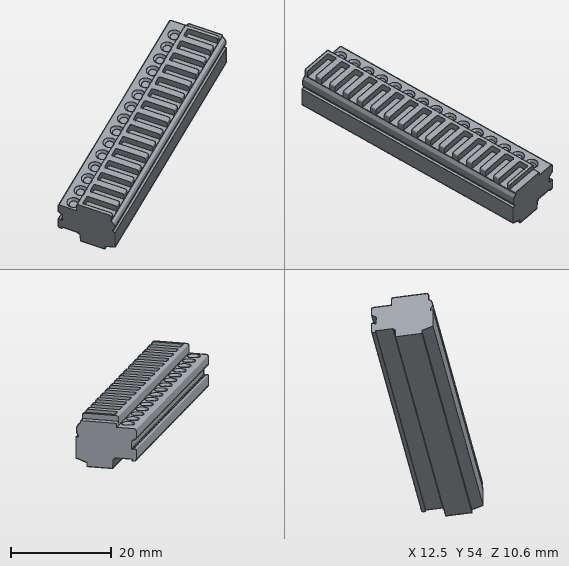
import cadquery as cq

WIDTH = 12.5
LENGTH = 54.0
HEIGHT = 10.6
POLES = 15

FOOT_LEFT = 4.9
FOOT_RIGHT = 10.2
FOOT_HEIGHT = 0.8
FOOT_ROOT = 4.75

SHELF_TOP = 8.65
SHELF_ROUND = 0.55
GROOVE_DEPTH = 0.95
GROOVE_BOTTOM = 4.45
GROOVE_TOP_INNER = 5.95
GROOVE_TOP_OUTER = 6.6
GROOVE_ROUND = 0.3
SILL_ROUND = 0.25
GROOVE_GUTTER = 0.15
GROOVE_SILL_WIDTH = 0.6
HOOK_BOTTOM = 1.9
HOOK_WIDTH = 0.85
HOOK_ROUND = 0.5
UNDERSIDE = 2.25
UNDERSIDE_RIGHT = 4.4
UNDERSIDE_STEP = 2.0

BLOCK_LEFT = 4.05
BLOCK_RIGHT = 11.55
BLOCK_ROUND = 0.5

BEAD_TOP = 8.95
BEAD_CREST = (12.35, 7.65)
BEAD_BOTTOM = (11.95, 6.3)
BEAD_NECK_HEIGHT = 0.25
WALL_TOP = 5.95
WALL_BOTTOM = 1.6

LIP_LENGTH = 1.5
LIP_TOP = 9.45
LIP_LEFT_ROUND = 0.4
LIP_RIGHT_ROUND = 0.2

FUNNEL_X = 2.6
FUNNEL_TOP_RADIUS = 1.3
FUNNEL_BOTTOM_RADIUS = 0.85
FUNNEL_DEPTH = 0.55

SLOT_LEFT = 5.1
SLOT_WIDTH = 2.1
SLOT_FLOOR = 9.05
SLOT_ROUND = 0.25

pitch = (LENGTH - LIP_LENGTH) / POLES
pole_centers = [(i + 0.5) * pitch for i in range(POLES)]


def lengthwise_edge(x, z):
    """Select the edges that run along Y through the point (x, z)."""
    reach = 0.05
    return cq.selectors.BoxSelector(
        (x - reach, 0, z - reach),
        (x + reach, LENGTH, z + reach),
    )


def make_profile(length, top, left_round, right_round):
    """Extrude the cross-section from Y = 0, with the raised block ending at the given top."""
    body = (
        cq.Workplane("XZ")
        .moveTo(FOOT_LEFT, 0)
        .lineTo(FOOT_RIGHT, 0)
        .lineTo(FOOT_RIGHT, FOOT_HEIGHT)
        .lineTo(WIDTH, WALL_BOTTOM)
        .lineTo(WIDTH, WALL_TOP)
        .lineTo(BEAD_BOTTOM[0], BEAD_BOTTOM[1] - BEAD_NECK_HEIGHT)
        .lineTo(*BEAD_BOTTOM)
        .threePointArc(BEAD_CREST, (BLOCK_RIGHT, BEAD_TOP))
        .lineTo(BLOCK_RIGHT, top)
        .lineTo(BLOCK_LEFT, top)
        .lineTo(BLOCK_LEFT, SHELF_TOP)
        .lineTo(0, SHELF_TOP)
        .lineTo(0, GROOVE_TOP_OUTER)
        .lineTo(GROOVE_DEPTH, GROOVE_TOP_INNER)
        .lineTo(GROOVE_DEPTH, GROOVE_BOTTOM)
        .lineTo((GROOVE_DEPTH + GROOVE_SILL_WIDTH) / 2, GROOVE_BOTTOM - GROOVE_GUTTER)
        .lineTo(GROOVE_SILL_WIDTH, GROOVE_BOTTOM)
        .lineTo(0, GROOVE_BOTTOM)
        .lineTo(0, HOOK_BOTTOM)
        .lineTo(HOOK_WIDTH, HOOK_BOTTOM)
        .lineTo(HOOK_WIDTH, UNDERSIDE)
        .lineTo(UNDERSIDE_RIGHT, UNDERSIDE)
        .lineTo(UNDERSIDE_RIGHT, UNDERSIDE_STEP)
        .lineTo(FOOT_ROOT, UNDERSIDE_STEP)
        .close()
        .extrude(-length)
    )
    rounds = [
        (0, SHELF_TOP, SHELF_ROUND),
        (0, GROOVE_TOP_OUTER, GROOVE_ROUND),
        (GROOVE_DEPTH, GROOVE_TOP_INNER, GROOVE_ROUND),
        (0, GROOVE_BOTTOM, SILL_ROUND),
        (0, HOOK_BOTTOM, HOOK_ROUND),
        (BLOCK_LEFT, top, left_round),
        (BLOCK_RIGHT, top, right_round),
    ]
    for x, z, radius in rounds:
        body = body.edges(lengthwise_edge(x, z)).fillet(radius)
    return body


def make_funnel(y):
    return (
        cq.Workplane("XY", origin=(FUNNEL_X, y, SHELF_TOP))
        .circle(FUNNEL_TOP_RADIUS)
        .workplane(offset=-FUNNEL_DEPTH)
        .circle(FUNNEL_BOTTOM_RADIUS)
        .loft()
    )


def make_slot(y):
    return (
        cq.Workplane("XY", origin=(SLOT_LEFT, y, SLOT_FLOOR))
        .box(WIDTH - SLOT_LEFT, SLOT_WIDTH, HEIGHT - SLOT_FLOOR, centered=(False, True, False))
        .edges("|Z and <X")
        .fillet(SLOT_ROUND)
    )


result = make_profile(LENGTH, LIP_TOP, LIP_LEFT_ROUND, LIP_RIGHT_ROUND)
result = result.union(make_profile(LENGTH - LIP_LENGTH, HEIGHT, BLOCK_ROUND, BLOCK_ROUND))
for center in pole_centers:
    result = result.cut(make_funnel(center))
    result = result.cut(make_slot(center))